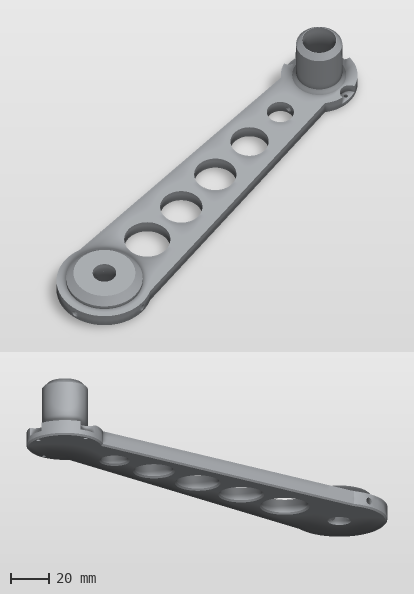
import cadquery as cq
import math

total_length = 227.0
big_end_radius = 25.0
small_end_radius = 20.0
small_end_y = total_length - big_end_radius - small_end_radius
big_junction_y = 8.9
small_junction_half_width = 14.5
plate_thickness = 8.0
bottom_chamfer = 1.0

hub_radius = 20.0
hub_top_z = 13.8
hub_chamfer = 3.9
hub_bore_diameter = 12.3

lightening_holes = [(36.3, 24.0), (65.1, 22.0), (94.0, 22.0), (123.0, 20.0), (149.0, 14.0)]

cross_hole_diameter = 3.6
channel_diameter = 3.2
mid_plate_z = plate_thickness / 2
post_well_diameter = 6.0

pocket_radius = 5.0
pocket_depth = 4.5
pocket_hole_diameter = 2.2
pocket_hole_offset = 17.5
pocket_angles = [0, 90, 180]

post_radius = 12.0
post_bore_radius = 8.9
post_top_z = 35.0
post_top_chamfer = 3.0
post_foot_flare = 2.0


def cylinder_up(x, y, bottom_z, diameter, height):
    return cq.Workplane("XY", origin=(x, y, bottom_z)).circle(diameter / 2).extrude(height)


def make_plate():
    big_junction_half_width = math.sqrt(big_end_radius**2 - big_junction_y**2)
    small_junction_drop = math.sqrt(small_end_radius**2 - small_junction_half_width**2)
    small_junction_y = small_end_y - small_junction_drop
    return (
        cq.Workplane("XY")
        .moveTo(big_junction_half_width, big_junction_y)
        .lineTo(small_junction_half_width, small_junction_y)
        .threePointArc((0, small_end_y + small_end_radius), (-small_junction_half_width, small_junction_y))
        .lineTo(-big_junction_half_width, big_junction_y)
        .threePointArc((0, -big_end_radius), (big_junction_half_width, big_junction_y))
        .close()
        .extrude(plate_thickness)
    )


def cut_big_end_holes(arm):
    bore = cylinder_up(0, 0, 0, hub_bore_diameter, plate_thickness)
    side_to_side = (
        cq.Workplane("YZ", origin=(0, 0, mid_plate_z))
        .circle(cross_hole_diameter / 2)
        .extrude(big_end_radius, both=True)
    )
    end_to_bore = (
        cq.Workplane("XZ", origin=(0, 0, mid_plate_z))
        .circle(cross_hole_diameter / 2)
        .extrude(big_end_radius)
    )
    return arm.cut(bore).cut(side_to_side).cut(end_to_bore)


def cut_lightening_holes(arm):
    for hole_y, diameter in lightening_holes:
        arm = arm.cut(cylinder_up(0, hole_y, 0, diameter, plate_thickness))
    return arm


def cut_post_channel(arm):
    well = cylinder_up(0, small_end_y, mid_plate_z, post_well_diameter, plate_thickness - mid_plate_z)
    last_hole_y = lightening_holes[-1][0]
    channel = (
        cq.Workplane("XZ", origin=(0, small_end_y, mid_plate_z))
        .circle(channel_diameter / 2)
        .extrude(small_end_y - last_hole_y)
    )
    return arm.cut(well).cut(channel)


def cut_rim_pockets(arm):
    pocket_floor_z = plate_thickness - pocket_depth
    for angle in pocket_angles:
        along_x = math.cos(math.radians(angle))
        along_y = math.sin(math.radians(angle))
        pocket = cylinder_up(
            small_end_radius * along_x,
            small_end_y + small_end_radius * along_y,
            pocket_floor_z,
            2 * pocket_radius,
            pocket_depth,
        )
        through_hole = cylinder_up(
            pocket_hole_offset * along_x,
            small_end_y + pocket_hole_offset * along_y,
            0,
            pocket_hole_diameter,
            plate_thickness,
        )
        arm = arm.cut(pocket).cut(through_hole)
    return arm


def make_post():
    post_height = post_top_z - plate_thickness
    return (
        cq.Workplane("XZ", origin=(0, small_end_y, plate_thickness))
        .moveTo(post_bore_radius, 0)
        .lineTo(post_radius + post_foot_flare, 0)
        .lineTo(post_radius, post_foot_flare)
        .lineTo(post_radius, post_height - post_top_chamfer)
        .lineTo(post_radius - post_top_chamfer, post_height)
        .lineTo(post_bore_radius, post_height)
        .close()
        .revolve(360, (0, 0, 0), (0, 1, 0))
    )


def make_arm():
    arm = cut_lightening_holes(make_plate())
    arm = arm.faces("<Z").chamfer(bottom_chamfer)
    arm = cut_big_end_holes(arm)
    arm = cut_post_channel(arm)
    arm = cut_rim_pockets(arm)
    return arm.union(make_post())


def make_hub():
    hub_height = hub_top_z - plate_thickness
    hub = cylinder_up(0, 0, plate_thickness, 2 * hub_radius, hub_height)
    hub = hub.faces(">Z").chamfer(hub_chamfer)
    return hub.cut(cylinder_up(0, 0, plate_thickness, hub_bore_diameter, hub_height))


arm = make_arm()
hub = make_hub()
result = cq.Compound.makeCompound([arm.solids().val(), hub.solids().val()])